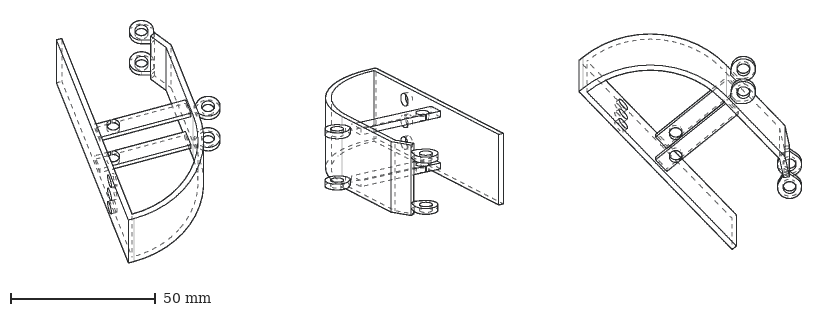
import cadquery as cq
import math

length = 80.6
strip_width = 26.0
thickness = 2.0
wall_outer_y = 37.1
plate_start_x = 0.5

lip_length = 7.75
lip_angle = 30.0

eye_radius = 4.2
hole_diameter = 4.4
eye_reach = 5.2
eye_sink = 0.6
upper_eye_x = 41.85
tab_thickness = 2.2
tab_offset_z = 9.4

bar_start_x = 36.9
bar_width = 5.9
bar_thickness = 2.2
bar_offset_z = 9.5
bar_hole_breakout = 0.01
bar_hole_y = 8.1

plate_hole_x = 59.7
plate_hole_pitch = 8.0
plate_hole_count = 3

bar_hole_x = bar_start_x + hole_diameter / 2 - bar_hole_breakout
arc_radius = wall_outer_y - thickness
inner_radius = arc_radius - thickness
arc_center_x = length - arc_radius
wall_inner_y = wall_outer_y - thickness

lip_cos = math.cos(math.radians(lip_angle))
lip_sin = math.sin(math.radians(lip_angle))

lip_mid_x = eye_radius + eye_reach * lip_cos
bend_x = lip_mid_x - thickness / 2 * lip_sin + lip_length * lip_cos
lip_end = (bend_x - lip_length * lip_cos, wall_outer_y - lip_length * lip_sin)
lip_inner_end = (lip_end[0] + thickness * lip_sin, lip_end[1] - thickness * lip_cos)
inner_bend_x = bend_x + thickness * math.tan(math.radians(lip_angle / 2))


def centered_slab(outline, height, center_z=0):
    """Extrude an XY outline equally to both sides of the given Z level."""
    return outline.extrude(height / 2, both=True).translate((0, 0, center_z))


def make_strip():
    """Flat plate, quarter-round wall and bent lip as one continuous strip."""
    diagonal = math.sqrt(0.5)
    outline = (
        cq.Workplane("XY")
        .moveTo(plate_start_x, 0)
        .lineTo(length, 0)
        .lineTo(length, thickness)
        .threePointArc(
            (arc_center_x + arc_radius * diagonal, thickness + arc_radius * diagonal),
            (arc_center_x, wall_outer_y),
        )
        .lineTo(bend_x, wall_outer_y)
        .lineTo(*lip_end)
        .lineTo(*lip_inner_end)
        .lineTo(inner_bend_x, wall_inner_y)
        .lineTo(arc_center_x, wall_inner_y)
        .threePointArc(
            (arc_center_x + inner_radius * diagonal, thickness + inner_radius * diagonal),
            (length - thickness, thickness),
        )
        .lineTo(plate_start_x, thickness)
        .close()
    )
    return centered_slab(outline, strip_width)


def make_eyelet():
    """Eyelet with its foot centred on the origin and its eye along +X."""
    half_foot = thickness / 2
    foot_distance = math.hypot(eye_reach, half_foot)
    tangent_angle = math.atan2(half_foot, eye_reach) + math.acos(eye_radius / foot_distance)
    tangent_x = eye_reach - eye_radius * math.cos(tangent_angle)
    tangent_y = eye_radius * math.sin(tangent_angle)
    outline = (
        cq.Workplane("XY")
        .moveTo(0, -half_foot)
        .lineTo(tangent_x, -tangent_y)
        .threePointArc((eye_reach + eye_radius, 0), (tangent_x, tangent_y))
        .lineTo(0, half_foot)
        .close()
        .moveTo(eye_reach, 0)
        .circle(hole_diameter / 2)
    )
    return centered_slab(outline, tab_thickness)


def make_bar(center_z):
    """Cross bar with a vertical hole that just breaks out of its -X side."""
    span = wall_inner_y - thickness
    outline = (
        cq.Workplane("XY")
        .center(bar_start_x + bar_width / 2, thickness + span / 2)
        .rect(bar_width, span)
    )
    bar = centered_slab(outline, bar_thickness, center_z)
    hole = cq.Workplane("XY").center(bar_hole_x, bar_hole_y).circle(hole_diameter / 2)
    return bar.cut(centered_slab(hole, bar_thickness, center_z))


result = make_strip()

lip_mid_y = (lip_end[1] + lip_inner_end[1]) / 2
eyelet = make_eyelet()
lip_eyelet = eyelet.rotate((0, 0, 0), (0, 0, 1), 180 + lip_angle).translate((lip_mid_x, lip_mid_y, 0))
upper_eyelet = eyelet.rotate((0, 0, 0), (0, 0, 1), 90).translate((upper_eye_x, wall_outer_y - eye_sink, 0))

for side in (-1, 1):
    result = result.union(make_bar(side * bar_offset_z))
    result = result.union(lip_eyelet.translate((0, 0, side * tab_offset_z)))
    result = result.union(upper_eyelet.translate((0, 0, side * tab_offset_z)))

plate_holes = (
    cq.Workplane("XZ")
    .center(plate_hole_x, 0)
    .rarray(0.8, plate_hole_pitch, 1, plate_hole_count)
    .circle(hole_diameter / 2)
    .extrude(-thickness)
)
result = result.cut(plate_holes)